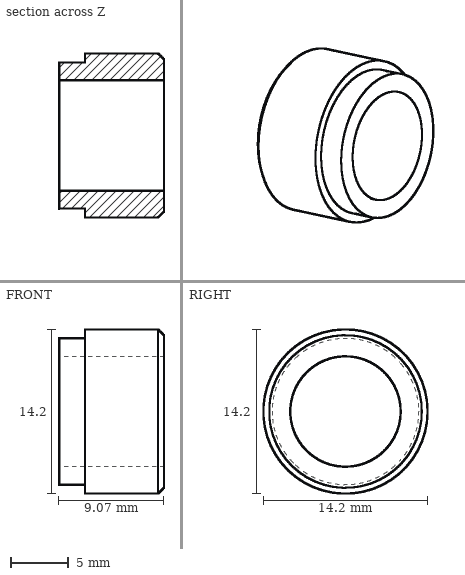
import cadquery as cq

total_length = 9.07
body_diameter = 14.22
spigot_diameter = 12.67
bore_diameter = 9.53
spigot_length = 2.23
chamfer_size = 0.51

body_length = total_length - spigot_length

spigot = cq.Workplane("YZ").circle(spigot_diameter / 2).extrude(spigot_length)

body = (
    cq.Workplane("YZ", origin=(spigot_length, 0, 0))
    .circle(body_diameter / 2)
    .extrude(body_length)
    .faces(">X")
    .chamfer(chamfer_size)
)

bore = cq.Workplane("YZ").circle(bore_diameter / 2).extrude(total_length)

result = spigot.union(body).cut(bore)